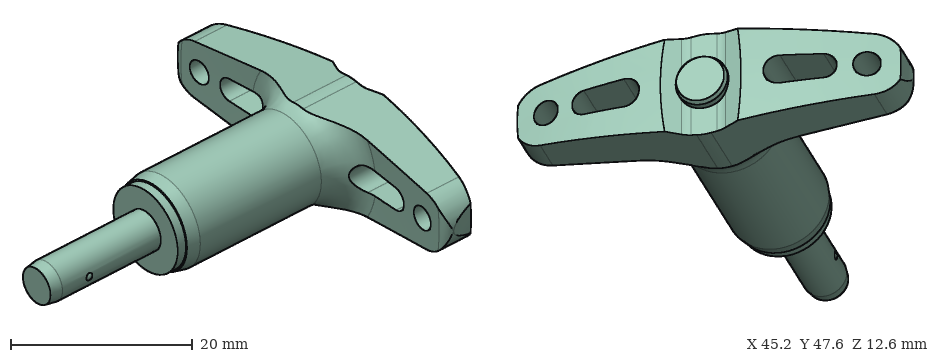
import cadquery as cq
import math


SHAFT_RADIUS = 2.55
SHAFT_LENGTH = 16.0
TIP_TAPER_LENGTH = 1.5
TIP_RADIUS = 2.3
BALL_RADIUS = 0.65
BALL_PROTRUSION = 0.17
BALL_Y = -10.5

COLLAR_RADIUS = 5.35
COLLAR_LENGTH = 1.2
SLEEVE_RADIUS = 5.9
SLEEVE_TAPER_RADIUS = 5.55
SLEEVE_TAPER_TOP_Y = 2.8

HANDLE_LENGTH = 45.2
MIDDLE_RADIUS = 6.32
END_RADIUS = 3.85

FLARE_RADIUS = 4.15
FLARE_START_Y = 20.6
UNDERSIDE_SLOPE = math.radians(3.0)
RIM_FILLET_RADIUS = 1.1
RIM_DRAFT = 0.48
BACK_EDGE_Y = 28.3
BACK_APEX_Y = 31.58
BUTTON_TOP_Y = 31.6

GROOVE_FLOOR_Y = 30.25
GROOVE_FLOOR_HALF = 1.5
GROOVE_TOP_HALF = 4.4
GROOVE_BLEND = 2.5
BUTTON_RADIUS = 3.0
BUTTON_TOP_RADIUS = 2.75
BUTTON_TAPER_LENGTH = 0.5

HOLE_RADIUS = 1.5
HOLE_X = 18.5
SLOT_OUTER_RADIUS = 1.5
SLOT_OUTER_X = 13.75
SLOT_INNER_RADIUS = 1.75
SLOT_INNER_X = 8.9

HALF_LENGTH = HANDLE_LENGTH / 2
END_X = HALF_LENGTH - END_RADIUS
CUT_CLEARANCE = 5.0
CUT_TOP_Y = BUTTON_TOP_Y + CUT_CLEARANCE


def arc_point(center, radius, angle):
    return (center[0] + radius * math.cos(angle), center[1] + radius * math.sin(angle))


def prism(outline, start_y, end_y):
    """Extrude an XZ outline from start_y to end_y."""
    return outline.extrude(-(end_y - start_y)).translate((0, start_y, 0))


def revolve_about_pin(profile):
    return profile.revolve(360, (0, 0, 0), (0, 1, 0))


def make_pin_and_sleeve():
    profile = (
        cq.Workplane("XY")
        .moveTo(0, -SHAFT_LENGTH)
        .lineTo(TIP_RADIUS, -SHAFT_LENGTH)
        .lineTo(SHAFT_RADIUS, -SHAFT_LENGTH + TIP_TAPER_LENGTH)
        .lineTo(SHAFT_RADIUS, 0)
        .lineTo(COLLAR_RADIUS, 0)
        .lineTo(COLLAR_RADIUS, COLLAR_LENGTH)
        .lineTo(SLEEVE_TAPER_RADIUS, COLLAR_LENGTH)
        .lineTo(SLEEVE_RADIUS, SLEEVE_TAPER_TOP_Y)
        .lineTo(SLEEVE_RADIUS, FLARE_START_Y)
        .lineTo(0, FLARE_START_Y)
        .close()
    )
    return revolve_about_pin(profile)


def make_handle_disc():
    """Flare, conical underside, rounded rim and domed back, all turned about the pin."""
    flare_center = (SLEEVE_RADIUS + FLARE_RADIUS, FLARE_START_Y)
    flare_end_angle = math.pi / 2 - UNDERSIDE_SLOPE
    flare_middle = arc_point(flare_center, FLARE_RADIUS, (math.pi + flare_end_angle) / 2)
    flare_end = arc_point(flare_center, FLARE_RADIUS, flare_end_angle)

    rim_center_x = HALF_LENGTH - RIM_FILLET_RADIUS
    rim_start_angle = -math.pi / 2 - UNDERSIDE_SLOPE
    rim_start_x = rim_center_x + RIM_FILLET_RADIUS * math.cos(rim_start_angle)
    rim_start_y = flare_end[1] - (rim_start_x - flare_end[0]) * math.tan(UNDERSIDE_SLOPE)
    rim_center = (rim_center_x, rim_start_y - RIM_FILLET_RADIUS * math.sin(rim_start_angle))
    rim_middle = arc_point(rim_center, RIM_FILLET_RADIUS, rim_start_angle / 2)
    rim_end = arc_point(rim_center, RIM_FILLET_RADIUS, 0)

    back_edge_x = HALF_LENGTH - RIM_DRAFT
    back_rise = BACK_APEX_Y - BACK_EDGE_Y
    back_radius = (back_edge_x**2 + back_rise**2) / (2 * back_rise)
    back_center = (0, BACK_APEX_Y - back_radius)
    back_half_angle = math.asin(back_edge_x / back_radius)
    back_middle = arc_point(back_center, back_radius, math.pi / 2 - back_half_angle / 2)

    profile = (
        cq.Workplane("XY")
        .moveTo(0, FLARE_START_Y)
        .lineTo(SLEEVE_RADIUS, FLARE_START_Y)
        .threePointArc(flare_middle, flare_end)
        .lineTo(rim_start_x, rim_start_y)
        .threePointArc(rim_middle, rim_end)
        .lineTo(back_edge_x, BACK_EDGE_Y)
        .threePointArc(back_middle, (0, BACK_APEX_Y))
        .close()
    )
    return revolve_about_pin(profile)


def make_handle_outline():
    lean = math.asin((MIDDLE_RADIUS - END_RADIUS) / END_X)
    middle_x = MIDDLE_RADIUS * math.sin(lean)
    middle_z = MIDDLE_RADIUS * math.cos(lean)
    tangent_x = END_X + END_RADIUS * math.sin(lean)
    tangent_z = END_RADIUS * math.cos(lean)
    outline = (
        cq.Workplane("XZ")
        .moveTo(-middle_x, middle_z)
        .threePointArc((0, MIDDLE_RADIUS), (middle_x, middle_z))
        .lineTo(tangent_x, tangent_z)
        .threePointArc((HALF_LENGTH, 0), (tangent_x, -tangent_z))
        .lineTo(middle_x, -middle_z)
        .threePointArc((0, -MIDDLE_RADIUS), (-middle_x, -middle_z))
        .lineTo(-tangent_x, -tangent_z)
        .threePointArc((-HALF_LENGTH, 0), (-tangent_x, tangent_z))
        .close()
    )
    return prism(outline, FLARE_START_Y, CUT_TOP_Y)


def make_groove():
    """Straight trough along Z: flat floor, concave corners and flared flanks."""
    flank = math.atan2(BACK_APEX_Y - GROOVE_FLOOR_Y, GROOVE_TOP_HALF - GROOVE_FLOOR_HALF)
    blend_center = (GROOVE_FLOOR_HALF, GROOVE_FLOOR_Y + GROOVE_BLEND)
    blend_middle = arc_point(blend_center, GROOVE_BLEND, -math.pi / 2 + flank / 2)
    blend_end = arc_point(blend_center, GROOVE_BLEND, -math.pi / 2 + flank)
    top_x = blend_end[0] + (CUT_TOP_Y - blend_end[1]) / math.tan(flank)
    return (
        cq.Workplane("XY")
        .moveTo(-GROOVE_FLOOR_HALF, GROOVE_FLOOR_Y)
        .lineTo(GROOVE_FLOOR_HALF, GROOVE_FLOOR_Y)
        .threePointArc(blend_middle, blend_end)
        .lineTo(top_x, CUT_TOP_Y)
        .lineTo(-top_x, CUT_TOP_Y)
        .lineTo(-blend_end[0], blend_end[1])
        .threePointArc((-blend_middle[0], blend_middle[1]), (-GROOVE_FLOOR_HALF, GROOVE_FLOOR_Y))
        .close()
        .extrude(HALF_LENGTH, both=True)
    )


def make_button():
    profile = (
        cq.Workplane("XY")
        .moveTo(0, FLARE_START_Y)
        .lineTo(BUTTON_RADIUS, FLARE_START_Y)
        .lineTo(BUTTON_RADIUS, BUTTON_TOP_Y - BUTTON_TAPER_LENGTH)
        .lineTo(BUTTON_TOP_RADIUS, BUTTON_TOP_Y)
        .lineTo(0, BUTTON_TOP_Y)
        .close()
    )
    return revolve_about_pin(profile)


def make_hole(side):
    circle = cq.Workplane("XZ").center(side * HOLE_X, 0).circle(HOLE_RADIUS)
    return prism(circle, FLARE_START_Y, CUT_TOP_Y)


def make_slot(side):
    """Slot whose flanks are tangent to a larger inner end and a smaller outer end."""
    lean = math.asin((SLOT_INNER_RADIUS - SLOT_OUTER_RADIUS) / (SLOT_OUTER_X - SLOT_INNER_X))
    inner_x = SLOT_INNER_X + SLOT_INNER_RADIUS * math.sin(lean)
    inner_z = SLOT_INNER_RADIUS * math.cos(lean)
    outer_x = SLOT_OUTER_X + SLOT_OUTER_RADIUS * math.sin(lean)
    outer_z = SLOT_OUTER_RADIUS * math.cos(lean)
    outline = (
        cq.Workplane("XZ")
        .moveTo(side * inner_x, inner_z)
        .lineTo(side * outer_x, outer_z)
        .threePointArc((side * (SLOT_OUTER_X + SLOT_OUTER_RADIUS), 0), (side * outer_x, -outer_z))
        .lineTo(side * inner_x, -inner_z)
        .threePointArc((side * (SLOT_INNER_X - SLOT_INNER_RADIUS), 0), (side * inner_x, inner_z))
        .close()
    )
    return prism(outline, FLARE_START_Y, CUT_TOP_Y)


def make_ball(side):
    ball_x = SHAFT_RADIUS + BALL_PROTRUSION - BALL_RADIUS
    return cq.Workplane("XY").sphere(BALL_RADIUS).translate((side * ball_x, BALL_Y, 0))


handle = make_handle_disc().intersect(make_handle_outline()).cut(make_groove())
for arm_side in (-1, 1):
    handle = handle.cut(make_hole(arm_side)).cut(make_slot(arm_side))

result = handle.union(make_pin_and_sleeve()).union(make_button())
for ball_side in (-1, 1):
    result = result.union(make_ball(ball_side))